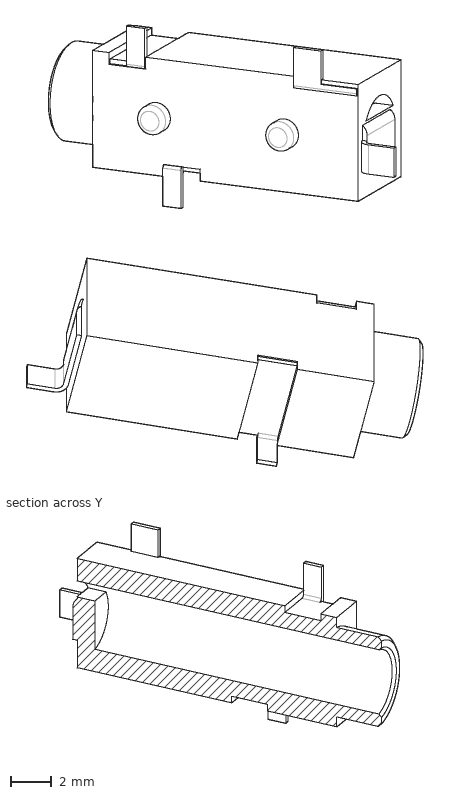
import cadquery as cq

OVERALL_LENGTH = 19.0
SLEEVE_DIAMETER = 5.0
SLEEVE_CHAMFER = 0.19
BORE_DIAMETER = 3.6
BORE_CHAMFER = 0.15
BODY_START = 2.5
BODY_END = 17.0
BODY_HEIGHT = 6.0
BODY_WIDTH = SLEEVE_DIAMETER
END_WALL = 1.0
WINDOW_SILL = 0.9

PEG_DIAMETER = 1.5
PEG_LENGTH = 0.8
PEG_FILLET = 0.25
PEG_POSITIONS = (6.0, 13.0)

METAL = 0.25
PROUD = 0.1
BEND_FILLET = 0.15
LEG_REACH = 4.5
MOUNT_FACE = -BODY_WIDTH / 2
LEG_OUTER = MOUNT_FACE - PROUD
LEG_INNER = LEG_OUTER + METAL

NOTCH_DEPTH = 0.6
NOTCH_LENGTH = 2.0
NOTCH_FLOOR = BODY_HEIGHT / 2 - NOTCH_DEPTH
TOP_NOTCH_START = 3.4
BOTTOM_NOTCH_START = 6.38
SIDE_LEG_WIDTH = NOTCH_LENGTH / 2
STRIP_BACK_GAP = 0.08

REAR_LEG_START = 13.5
REAR_LEG_WIDTH = 1.5
LEDGE_END = BODY_END - 0.04
LEDGE_HEIGHT = 0.4

TAB_WIDTH = 1.5
TAB_OUTER_RADIUS = 0.6
PLATE_BACK = 1.24
PLATE_EMBED = 0.6


def box(x0, x1, y0, y1, z0, z1):
    """Box between two opposite corners."""
    return cq.Workplane("XY").box(x1 - x0, y1 - y0, z1 - z0, centered=False).translate((x0, y0, z0))


def slab(x0, x1, z0, z1):
    """Box across the full width of the body."""
    return box(x0, x1, -BODY_WIDTH / 2, BODY_WIDTH / 2, z0, z1)


def housing():
    half_height = BODY_HEIGHT / 2
    sleeve = cq.Workplane("YZ").circle(SLEEVE_DIAMETER / 2).extrude(BODY_START)
    sleeve = sleeve.faces("<X").edges().chamfer(SLEEVE_CHAMFER)
    body = slab(BODY_START, BODY_END, -half_height, half_height).union(sleeve)

    bore = cq.Workplane("YZ").circle(BORE_DIAMETER / 2).extrude(BODY_END - END_WALL)
    through = cq.Workplane("YZ").circle(BORE_DIAMETER / 2).extrude(BODY_END)
    window = through.intersect(slab(0, BODY_END, WINDOW_SILL, half_height))
    mouth = cq.Workplane("YZ").circle(BORE_DIAMETER / 2 + BORE_CHAMFER)
    mouth = mouth.workplane(offset=BORE_CHAMFER).circle(BORE_DIAMETER / 2).loft()
    body = body.cut(bore).cut(window).cut(mouth)

    top_end = TOP_NOTCH_START + NOTCH_LENGTH
    bottom_end = BOTTOM_NOTCH_START + NOTCH_LENGTH
    body = body.cut(slab(TOP_NOTCH_START, top_end, NOTCH_FLOOR, half_height))
    return body.cut(slab(BOTTOM_NOTCH_START, bottom_end, -half_height, -NOTCH_FLOOR))


def locating_peg(x):
    peg = cq.Workplane("XZ", origin=(x, MOUNT_FACE, 0)).circle(PEG_DIAMETER / 2).extrude(PEG_LENGTH)
    return peg.faces("<Y").edges().fillet(PEG_FILLET)


def leg(x0, width):
    """Upright leg with a rounded lower outer edge."""
    upright = box(x0, x0 + width, LEG_OUTER, LEG_INNER, NOTCH_FLOOR, LEG_REACH)
    return upright.faces("<Y").edges("<Z").fillet(BEND_FILLET)


def side_contact(notch_start, leg_start):
    """Strip on the notch floor, bent up into a leg beside the mounting face."""
    strip_back = BODY_WIDTH / 2 - STRIP_BACK_GAP
    strip = box(notch_start, notch_start + NOTCH_LENGTH, LEG_INNER, strip_back,
                NOTCH_FLOOR, NOTCH_FLOOR + METAL)
    contact = strip.union(leg(leg_start, SIDE_LEG_WIDTH))
    bend = cq.selectors.BoxSelector(
        (leg_start - METAL, LEG_INNER - METAL / 4, NOTCH_FLOOR + METAL * 3 / 4),
        (leg_start + SIDE_LEG_WIDTH + METAL, LEG_INNER + METAL / 4, NOTCH_FLOOR + METAL * 5 / 4))
    return contact.edges(bend).edges("|X").fillet(BEND_FILLET)


def rear_contact():
    """Leg set into the mounting face, with a low ledge running to the rear."""
    ledge = box(REAR_LEG_START, LEDGE_END, LEG_OUTER, LEG_INNER, NOTCH_FLOOR, NOTCH_FLOOR + LEDGE_HEIGHT)
    ledge = ledge.faces("<Y").edges("<Z").fillet(BEND_FILLET)
    return leg(REAR_LEG_START, REAR_LEG_WIDTH).union(ledge)


def end_contact():
    """Plate on the rear face, bent outward into a solder tab."""
    plate_outer = BODY_END + METAL
    bend_start = LEG_OUTER + TAB_OUTER_RADIUS
    inner_radius = TAB_OUTER_RADIUS - METAL
    tab = (
        cq.Workplane("XY", origin=(0, 0, -TAB_WIDTH))
        .moveTo(BODY_END, PLATE_BACK)
        .lineTo(BODY_END, bend_start)
        .radiusArc((BODY_END + TAB_OUTER_RADIUS, LEG_OUTER), -TAB_OUTER_RADIUS)
        .lineTo(OVERALL_LENGTH, LEG_OUTER)
        .lineTo(OVERALL_LENGTH, LEG_INNER)
        .lineTo(BODY_END + TAB_OUTER_RADIUS, LEG_INNER)
        .radiusArc((plate_outer, bend_start), inner_radius)
        .lineTo(plate_outer, PLATE_BACK)
        .close()
        .extrude(TAB_WIDTH)
    )
    shoulder = box(BODY_END - PLATE_EMBED, plate_outer, bend_start, PLATE_BACK, 0, WINDOW_SILL)
    shoulder = shoulder.faces(">X").edges(">Z").fillet(TAB_OUTER_RADIUS)
    return tab.union(shoulder)


top_leg_start = TOP_NOTCH_START + NOTCH_LENGTH - SIDE_LEG_WIDTH
top_contact = side_contact(TOP_NOTCH_START, top_leg_start)
bottom_contact = side_contact(BOTTOM_NOTCH_START, BOTTOM_NOTCH_START).mirror("XY")

result = housing()
for peg_x in PEG_POSITIONS:
    result = result.union(locating_peg(peg_x))
for contact in (top_contact, bottom_contact, rear_contact(), end_contact()):
    result = result.union(contact)